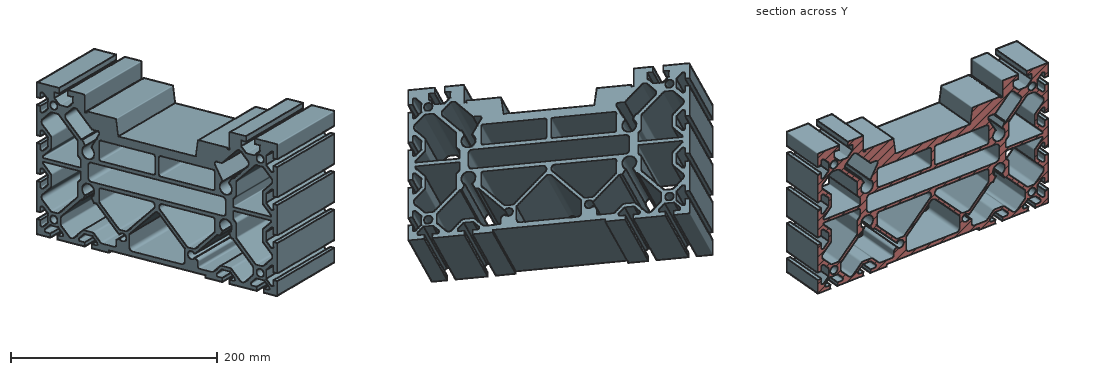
import cadquery as cq
import math

width = 280.0
grid = width / 7
height = 4 * grid
depth = 2.5 * grid
mid_x = width / 2
top = height / 2
bottom = -top

outer_radius = 1.0
tower_width = 55.7
shelf_z = top - 17.0
relief_width = 2.2
relief_depth = 1.7
relief_radius = 0.8
channel_top_x = 92.5
channel_floor_x = 95.0
channel_floor_z = top - 35.0
foot_width = 84.0
foot_recess = 2.5

slot_opening = 8.0
slot_lip = 4.5
slot_depth = 13.2
slot_floor_width = 9.2
slot_corner_radius = 1.82

top_slot_x = 31.5
top_slot_opening = 10.0
top_slot_lip = 6.0
top_slot_width = 21.5
top_slot_floor_width = 9.5
top_slot_depth = 18.0

screw_radius = 4.2
bore_radius = 7.0
bore_x = 1.5 * grid
bore_z = grid / 2
neck_length = 13.5
screw_port_x = 2.5 * grid
screw_z = 1.5 * grid
flare = math.radians(30)

web_half = 2.0
floor_z = bottom + 7.8
window_x = 72.8
strut_fall = 83.5

tight_radius = 1.0
small_radius = 2.2
medium_radius = 4.0

blunt_half = 4.2


def crossing(rise, fall):
    """Point where the 45 degree lines z = x + rise and z = fall - x meet."""
    return ((fall - rise) / 2, (fall + rise) / 2)


def rounded_prism(corners):
    """Full-depth prism from (x, z, radius) corners; a zero radius stays sharp."""
    ends = []
    for i, (x, z, radius) in enumerate(corners):
        if radius == 0:
            ends.append(((x, z), None, (x, z)))
            continue
        before = corners[i - 1]
        after = corners[(i + 1) % len(corners)]
        length_in = math.hypot(before[0] - x, before[1] - z)
        length_out = math.hypot(after[0] - x, after[1] - z)
        ux, uz = (before[0] - x) / length_in, (before[1] - z) / length_in
        vx, vz = (after[0] - x) / length_out, (after[1] - z) / length_out
        half_angle = math.acos(ux * vx + uz * vz) / 2
        setback = radius / math.tan(half_angle)
        bisector = math.hypot(ux + vx, uz + vz)
        to_arc = radius / math.sin(half_angle) - radius
        middle = (x + to_arc * (ux + vx) / bisector, z + to_arc * (uz + vz) / bisector)
        start = (x + setback * ux, z + setback * uz)
        finish = (x + setback * vx, z + setback * vz)
        ends.append((start, middle, finish))

    wire = cq.Workplane("XZ").moveTo(*ends[0][2])
    for start, middle, finish in ends[1:]:
        wire = wire.lineTo(*start)
        if middle:
            wire = wire.threePointArc(middle, finish)
    start, middle, finish = ends[0]
    if middle:
        wire = wire.lineTo(*start).threePointArc(middle, finish)
    return wire.close().extrude(-depth)


def bore(x, z, radius):
    return cq.Workplane("XZ").center(x, z).circle(radius).extrude(-depth)


def body():
    left_half = [
        (foot_width, bottom + foot_recess, 0),
        (foot_width, bottom, 0),
        (0, bottom, outer_radius),
        (0, top, outer_radius),
        (tower_width, top, outer_radius),
        (tower_width, shelf_z - relief_depth, 0),
        (tower_width + relief_width, shelf_z - relief_depth, 0),
        (tower_width + relief_width, shelf_z, relief_radius),
        (channel_top_x, shelf_z, outer_radius),
        (channel_floor_x, channel_floor_z, 0),
    ]
    right_half = [(width - x, z, radius) for x, z, radius in reversed(left_half)]
    return rounded_prism(left_half + right_half)


def t_slot():
    """Slot opening through the left face, centred on z = 0."""
    half_opening = slot_opening / 2
    half_floor = slot_floor_width / 2
    half_cavity = half_floor + slot_depth - slot_lip
    upper = [
        (0, half_opening, 0),
        (slot_lip, half_opening, 0),
        (slot_lip, half_cavity, slot_corner_radius),
        (slot_depth, half_floor, 0),
    ]
    lower = [(x, -z, radius) for x, z, radius in reversed(upper)]
    return rounded_prism(upper + lower)


def top_slot():
    half_opening = top_slot_opening / 2
    half_cavity = top_slot_width / 2
    half_floor = top_slot_floor_width / 2
    taper_z = top - top_slot_depth + half_cavity - half_floor
    left_side = [
        (top_slot_x - half_floor, top - top_slot_depth, small_radius),
        (top_slot_x - half_cavity, taper_z, 0),
        (top_slot_x - half_cavity, top - top_slot_lip, 0),
        (top_slot_x - half_opening, top - top_slot_lip, 0),
        (top_slot_x - half_opening, top, 0),
    ]
    right_side = [(2 * top_slot_x - x, z, radius) for x, z, radius in reversed(left_side)]
    return rounded_prism(left_side + right_side)


def side_pocket():
    """Upper pocket behind the side slots; the lower one is its mirror image."""
    corner_rise = 35.5
    inner_fall = 77.5
    slot_fall = 43.7
    slot_wall_x = 17.0
    bore_wall_x = 48.0
    web_end_x = 51.2
    step_fall = 62.0
    peak_x, peak_z = crossing(corner_rise, inner_fall)
    slot_rise = grid - slot_fall
    return rounded_prism([
        (peak_x - blunt_half, peak_z - blunt_half, medium_radius),
        (peak_x + blunt_half, peak_z - blunt_half, medium_radius),
        (bore_wall_x, inner_fall - bore_wall_x, small_radius),
        (bore_wall_x, step_fall - bore_wall_x, small_radius),
        (web_end_x, step_fall - web_end_x, small_radius),
        (web_end_x, web_half, tight_radius),
        (web_half - slot_rise, web_half, tight_radius),
        (slot_wall_x, slot_wall_x + slot_rise, small_radius),
        (slot_wall_x, slot_fall - slot_wall_x, small_radius),
        (*crossing(corner_rise, slot_fall), medium_radius),
    ])


def tower_pocket():
    """Slanted pocket under the top slot, opening into the upper bore."""
    outer_rise = 20.2
    upper_fall = 109.5
    ledge_z = 45.0
    mouth_z = bore_z + neck_length * math.cos(flare)
    pocket = rounded_prism([
        (bore_x, bore_z, 0),
        (bore_x - neck_length * math.sin(flare), mouth_z, 0),
        (strut_fall - mouth_z, mouth_z, 0),
        (*crossing(outer_rise, strut_fall), medium_radius),
        (*crossing(outer_rise, upper_fall), medium_radius),
        (upper_fall - ledge_z, ledge_z, 0),
        (bore_x + (ledge_z - bore_z) * math.tan(flare), ledge_z, small_radius),
    ])
    return pocket.union(bore(bore_x, bore_z, bore_radius))


def foot_pocket():
    """Pocket above the bottom slots, joining the lower bore and a screw port."""
    corner_wall_x = 28.3
    corner_fall = -35.8
    slot_rise = -117.0
    slot_roof_z = -63.0
    slot_fall = 2 * bore_x + slot_rise
    port_wall_x = 92.5
    strut_inner_fall = 38.0
    mouth_z = -bore_z - neck_length * math.cos(flare)
    mouth_half = neck_length * math.sin(flare)
    flank = (screw_port_x - screw_z - strut_inner_fall) / (math.cos(flare) - math.sin(flare))
    flank_x = screw_port_x - flank * math.cos(flare)
    flank_z = -screw_z + flank * math.sin(flare)
    port_foot_z = -screw_z - (screw_port_x - port_wall_x) * math.tan(flare)
    pocket = rounded_prism([
        (bore_x, -bore_z, 0),
        (bore_x - mouth_half, mouth_z, 0),
        (strut_fall + mouth_z, mouth_z, 0),
        (corner_wall_x, corner_wall_x - strut_fall, small_radius),
        (corner_wall_x, corner_fall - corner_wall_x, small_radius),
        (*crossing(slot_rise, corner_fall), medium_radius),
        (slot_roof_z - slot_rise, slot_roof_z, medium_radius),
        (slot_fall - slot_roof_z, slot_roof_z, medium_radius),
        (slot_fall - floor_z, floor_z, medium_radius),
        (port_wall_x, floor_z, small_radius),
        (port_wall_x, port_foot_z, small_radius),
        (screw_port_x, -screw_z, 0),
        (flank_x, flank_z, 0),
        (strut_inner_fall - mouth_z, mouth_z, 0),
        (bore_x + mouth_half, mouth_z, 0),
    ])
    pocket = pocket.union(bore(bore_x, -bore_z, bore_radius))
    return pocket.union(bore(screw_port_x, -screw_z, screw_radius))


def upper_window():
    rib_half = 2.2
    window_bottom = 14.3
    window_top = 35.8
    return rounded_prism([
        (window_x, window_bottom, small_radius),
        (mid_x - rib_half, window_bottom, small_radius),
        (mid_x - rib_half, window_top, small_radius),
        (window_x, window_top, small_radius),
    ])


def lower_window():
    window_top = -14.3
    strut_outer_fall = 43.5
    strut_rise = -157.5
    valley_x, valley_z = crossing(strut_rise, strut_outer_fall)
    return rounded_prism([
        (window_x, window_top, small_radius),
        (window_x, strut_outer_fall - window_x, small_radius),
        (valley_x - blunt_half, valley_z + blunt_half, medium_radius),
        (valley_x + blunt_half, valley_z + blunt_half, medium_radius),
        (window_top - strut_rise, window_top, medium_radius),
    ])


def middle_slot():
    half_height = 10.0
    slot_radius = 4.0
    return rounded_prism([
        (bore_x, -half_height, slot_radius),
        (width - bore_x, -half_height, slot_radius),
        (width - bore_x, half_height, slot_radius),
        (bore_x, half_height, slot_radius),
    ])


def gable_pocket():
    """House-shaped pocket at the bottom centre."""
    side_x = 107.8
    eaves_z = -55.0
    return rounded_prism([
        (side_x, floor_z, medium_radius),
        (width - side_x, floor_z, medium_radius),
        (width - side_x, eaves_z, 0),
        (mid_x, eaves_z + mid_x - side_x, medium_radius),
        (side_x, eaves_z, 0),
    ])


side_slots = [t_slot().translate((0, 0, row * grid)) for row in (-1.5, -0.5, 0.5, 1.5)]
upright_slot = t_slot().rotate((0, 0, 0), (0, 1, 0), -90)
bottom_slots = [upright_slot.translate((column * grid, 0, bottom)) for column in (0.5, 1.5)]
screw_holes = [bore(grid / 2, z, screw_radius) for z in (-screw_z, screw_z)]
left_cuts = side_slots + bottom_slots + screw_holes + [
    top_slot(),
    side_pocket(),
    side_pocket().mirror("XY"),
    tower_pocket(),
    foot_pocket(),
    upper_window(),
    lower_window(),
]

result = body().cut(middle_slot()).cut(gable_pocket())
for cutter in left_cuts:
    result = result.cut(cutter)
    result = result.cut(cutter.mirror("YZ", (mid_x, 0, 0)))